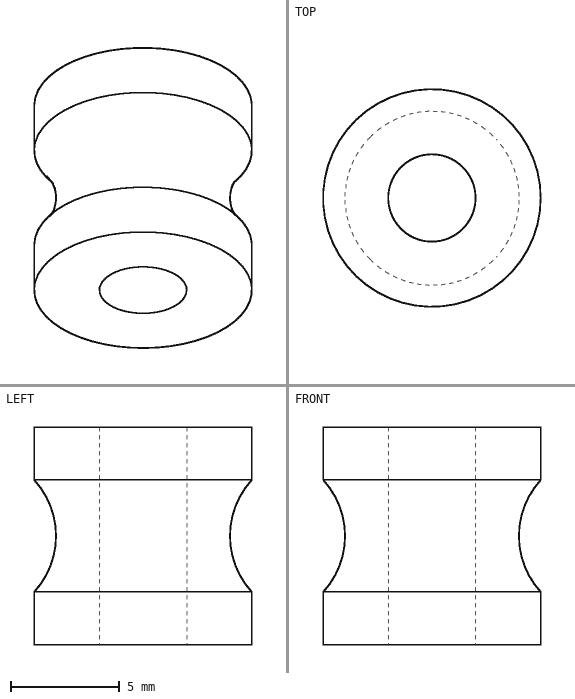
import cadquery as cq

height = 10.0
outer_diameter = 10.0
bore_diameter = 4.0
waist_diameter = 8.0
flange_height = 2.43

outer_radius = outer_diameter / 2
bore_radius = bore_diameter / 2
waist_radius = waist_diameter / 2
half_height = height / 2
groove_half_width = half_height - flange_height

section = (
    cq.Workplane("XZ")
    .moveTo(bore_radius, -half_height)
    .lineTo(outer_radius, -half_height)
    .lineTo(outer_radius, -groove_half_width)
    .threePointArc((waist_radius, 0), (outer_radius, groove_half_width))
    .lineTo(outer_radius, half_height)
    .lineTo(bore_radius, half_height)
    .close()
)

result = section.revolve(360, (0, 0, 0), (0, 1, 0))